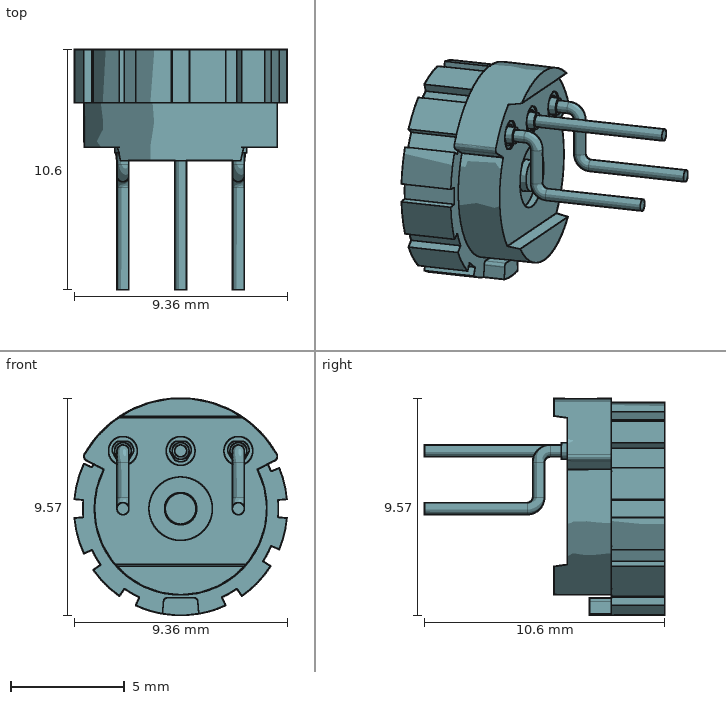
import cadquery as cq
import math


DISC_RADIUS = 4.7
DISC_DEPTH = 2.35
NOTCH_FLOOR_RADIUS = 4.31
NOTCH_REACH = 5.3
NOTCH_SPAN = 10
NOTCH_ANGLES = (-120, -60, -27.5, 0, 60, 90, 120, 150, 180, 210)
WIDE_NOTCH_SPAN = 15.5
WIDE_NOTCH_ANGLE = 30.2

LUG_DEPTH = 3.33
LUG_TOP = -3.93
LUG_TOP_HALF_WIDTH = 0.74
LUG_FOOT_HALF_WIDTH = 0.8
LUG_FILLET = 0.16

HOUSING_RADIUS = 3.8
SECTOR_RADIUS = 4.87
SECTOR_START_ANGLE = 27
SECTOR_CORNER_FILLET = 0.21
HOUSING_DEPTH = 4.89
HOUSING_DRAFT = 0.25

FLOOR_DEPTH = 4.31
CHANNEL_TOP = 3.99
CHANNEL_BOTTOM = -2.46
CHANNEL_FLARE = 0.08

RECESS_RADIUS = 1.4
RECESS_DEPTH = 0.33
BOSS_FOOT_RADIUS = 0.71
BOSS_FACE_RADIUS = 0.68

PIN_SPACING = 2.54
PIN_HEIGHT = 2.54
PIN_DIAMETER = 0.53
PIN_END_DEPTH = 10.59
BEND_RADIUS = 0.51
BEND_MIDDLE_DEPTH = 5.56
COLLAR_RADIUS = 0.37
COLLAR_END_DEPTH = 4.55
SEAT_RADIUS = 0.64
SEAT_DEPTH = 0.06
BORE_RADIUS = 0.48
BORE_DEPTH = 0.21
BORE_FLAT_DISTANCE = 0.42
BORE_RIB_WIDTH = 0.19
BORE_RIB_SETBACK = 0.05
BORE_RIB_ANGLES = (90, 210, 330)


def plane_at(depth):
    """Sketch plane facing -Y at the given depth from the back."""
    return cq.Workplane("XZ", origin=(0, -depth, 0))


def cylinder(radius, start_depth, end_depth, x=0, z=0):
    return plane_at(start_depth).center(x, z).circle(radius).extrude(end_depth - start_depth)


def polar(radius, angle):
    return (radius * math.cos(math.radians(angle)), radius * math.sin(math.radians(angle)))


def make_notch(angle, span):
    """Cutter for one rim notch with radial sides and a round floor."""
    return (
        cq.Workplane("XZ")
        .moveTo(*polar(NOTCH_FLOOR_RADIUS, angle - span / 2))
        .lineTo(*polar(NOTCH_REACH, angle - span / 2))
        .lineTo(*polar(NOTCH_REACH, angle + span / 2))
        .lineTo(*polar(NOTCH_FLOOR_RADIUS, angle + span / 2))
        .threePointArc(
            polar(NOTCH_FLOOR_RADIUS, angle),
            polar(NOTCH_FLOOR_RADIUS, angle - span / 2),
        )
        .close()
        .extrude(DISC_DEPTH)
    )


def make_disc():
    disc = cylinder(DISC_RADIUS, 0, DISC_DEPTH)
    for angle in NOTCH_ANGLES:
        disc = disc.cut(make_notch(angle, NOTCH_SPAN))
    return disc.cut(make_notch(WIDE_NOTCH_ANGLE, WIDE_NOTCH_SPAN))


def make_lug():
    outline = [
        (-LUG_TOP_HALF_WIDTH, LUG_TOP),
        (LUG_TOP_HALF_WIDTH, LUG_TOP),
        (LUG_FOOT_HALF_WIDTH, -DISC_RADIUS),
        (-LUG_FOOT_HALF_WIDTH, -DISC_RADIUS),
    ]
    lug = plane_at(0).polyline(outline).close().extrude(LUG_DEPTH)
    lug = lug.edges("|Y").edges(">Z").fillet(LUG_FILLET)
    return lug.intersect(cylinder(DISC_RADIUS, 0, LUG_DEPTH))


def make_housing():
    right_angle = SECTOR_START_ANGLE
    left_angle = 180 - SECTOR_START_ANGLE
    fillet_centre_radius = SECTOR_RADIUS - SECTOR_CORNER_FILLET
    fillet_angle = math.degrees(math.asin(SECTOR_CORNER_FILLET / fillet_centre_radius))
    side_end_radius = math.sqrt(fillet_centre_radius**2 - SECTOR_CORNER_FILLET**2)
    rim_angle = right_angle + fillet_angle

    outline = (
        plane_at(DISC_DEPTH)
        .moveTo(*polar(HOUSING_RADIUS, right_angle))
        .lineTo(*polar(side_end_radius, right_angle))
        .radiusArc(polar(SECTOR_RADIUS, rim_angle), -SECTOR_CORNER_FILLET)
        .threePointArc((0, SECTOR_RADIUS), polar(SECTOR_RADIUS, 180 - rim_angle))
        .radiusArc(polar(side_end_radius, left_angle), -SECTOR_CORNER_FILLET)
        .lineTo(*polar(HOUSING_RADIUS, left_angle))
        .threePointArc((0, -HOUSING_RADIUS), polar(HOUSING_RADIUS, right_angle))
        .close()
    )
    return outline.extrude(HOUSING_DEPTH - DISC_DEPTH, taper=HOUSING_DRAFT)


def make_channel():
    section = [
        (-FLOOR_DEPTH, CHANNEL_BOTTOM),
        (-FLOOR_DEPTH, CHANNEL_TOP),
        (-HOUSING_DEPTH, CHANNEL_TOP + CHANNEL_FLARE),
        (-HOUSING_DEPTH, CHANNEL_BOTTOM - CHANNEL_FLARE),
    ]
    return cq.Workplane("YZ").polyline(section).close().extrude(SECTOR_RADIUS, both=True)


def make_rotor_recess():
    recess_floor = FLOOR_DEPTH - RECESS_DEPTH
    boss = (
        plane_at(recess_floor)
        .circle(BOSS_FOOT_RADIUS)
        .workplane(offset=RECESS_DEPTH)
        .circle(BOSS_FACE_RADIUS)
        .loft()
    )
    return cylinder(RECESS_RADIUS, recess_floor, FLOOR_DEPTH).cut(boss)


def make_pin_seat(x):
    """Stepped pocket around a pin; its bore has three flats with ribs that reach the collar."""
    bore_floor = FLOOR_DEPTH - SEAT_DEPTH - BORE_DEPTH
    bore = cylinder(BORE_RADIUS, bore_floor, FLOOR_DEPTH)
    flat = (
        plane_at(bore_floor)
        .center((BORE_FLAT_DISTANCE + BORE_RADIUS) / 2, 0)
        .rect(BORE_RADIUS - BORE_FLAT_DISTANCE, 2 * BORE_RADIUS)
        .extrude(BORE_DEPTH)
    )
    rib = (
        plane_at(bore_floor)
        .center(BORE_RADIUS / 2, 0)
        .rect(BORE_RADIUS, BORE_RIB_WIDTH)
        .extrude(BORE_DEPTH - BORE_RIB_SETBACK)
    )
    grip = flat.union(rib)
    for angle in BORE_RIB_ANGLES:
        bore = bore.cut(grip.rotate((0, 0, 0), (0, -1, 0), angle))
    seat = cylinder(SEAT_RADIUS, FLOOR_DEPTH - SEAT_DEPTH, FLOOR_DEPTH)
    return seat.union(bore).translate((x, 0, PIN_HEIGHT))


def make_collar(x):
    return cylinder(COLLAR_RADIUS, DISC_DEPTH, COLLAR_END_DEPTH, x, PIN_HEIGHT)


def make_straight_pin():
    return cylinder(PIN_DIAMETER / 2, DISC_DEPTH, PIN_END_DEPTH, 0, PIN_HEIGHT)


def make_bent_pin(x):
    """Pin that steps down to the round axis through two square bends."""
    bend_midpoint_offset = BEND_RADIUS * (1 - math.sqrt(0.5))
    middle = -BEND_MIDDLE_DEPTH
    path = (
        cq.Workplane("YZ", origin=(x, 0, 0))
        .moveTo(-DISC_DEPTH, PIN_HEIGHT)
        .lineTo(middle + BEND_RADIUS, PIN_HEIGHT)
        .threePointArc(
            (middle + bend_midpoint_offset, PIN_HEIGHT - bend_midpoint_offset),
            (middle, PIN_HEIGHT - BEND_RADIUS),
        )
        .lineTo(middle, BEND_RADIUS)
        .threePointArc(
            (middle - bend_midpoint_offset, bend_midpoint_offset),
            (middle - BEND_RADIUS, 0),
        )
        .lineTo(-PIN_END_DEPTH, 0)
    )
    return plane_at(DISC_DEPTH).center(x, PIN_HEIGHT).circle(PIN_DIAMETER / 2).sweep(path)


result = make_housing().cut(make_channel()).cut(make_rotor_recess())
for pin_x in (-PIN_SPACING, 0, PIN_SPACING):
    result = result.cut(make_pin_seat(pin_x)).union(make_collar(pin_x))
result = result.union(make_straight_pin())
for pin_x in (-PIN_SPACING, PIN_SPACING):
    result = result.union(make_bent_pin(pin_x))
result = result.union(make_disc()).union(make_lug())